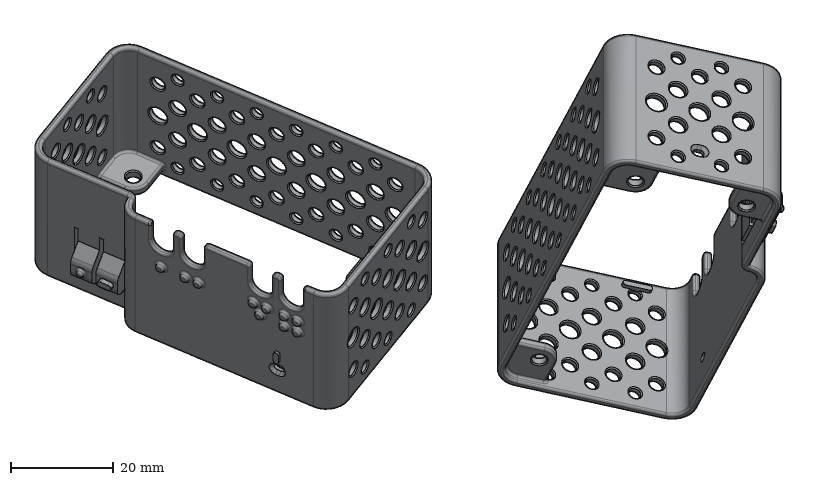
import cadquery as cq
import math

LENGTH = 73.0
DEPTH = 40.95
HEIGHT = 32.6
WALL = 1.5
CORNER_RADIUS = 5.05
EDGE_RADIUS = 0.5
MARK_HEIGHT = 1.0
MARK_ROOT = 0.4

STEP_X = 23.35
STEP_DEPTH = 4.45
STEP_INNER_RADIUS = 0.3
STEP_OUTER_RADIUS = STEP_DEPTH - STEP_INNER_RADIUS

VENT_PITCH = 9.0
HALF_PITCH = VENT_PITCH / 2
RIM_ROUND = 0.255
VENT_ROWS = [
    (0.0, 4.0),
    (HALF_PITCH, 3.5),
    (VENT_PITCH, 3.0),
    (12.5, 2.5),
]
BACK_COLUMNS = [7, 6, 7, 6]
LEFT_COLUMNS = [3, 2, 3, 2]
RIGHT_COLUMNS = [4, 3, 4, 3]

TAB_BOTTOM = 1.5
TAB_THICKNESS = 2.0
TAB_HOLE = 3.0
TAB_HOLE_INSET = 7.5
TAB_HOLE_SPACING_Y = 23.0
TAB_RADIUS = 3.4

NOTCH_WIDTH = 5.0
NOTCH_CENTRE_Z = 27.95
NOTCH_LIP_RADIUS = 0.7
NOTCH_PITCH = 7.0
NOTCH_PAIR_X = [37.0, 59.5]

DOT_DIAMETER = 2.0
DOT_PITCH = 3.0
DOT_ROUND = MARK_HEIGHT / 2
SINGLE_ROW_Z = 21.9
GROUP_TOP_Z = 22.9

LIGHT_Z = 6.4
LIGHT_DIAMETER = 1.5
LIGHT_STRAIGHT = 0.7
LIGHT_FLARE = 0.7
LIGHT_FRONT_X = 59.8

BAR_Z = 10.2
BAR_LENGTH = 3.0
BAR_WIDTH = 1.2
BAR_HEIGHT = 0.6
INNER_BAR_Y = 11.25
INNER_BAR_Z = 30.5
INNER_BAR_LENGTH = 6.1
INNER_BAR_HEIGHT = 0.9

BUTTON_WIDTH = 4.9
BUTTON_GAP = 0.9
BUTTON_BOTTOM = 5.8
BUTTON_GAP_TOP = 17.15
BUTTON_MIDDLE_X = 17.3
BUTTON_REACH = 3.0
BUTTON_CORNER_Z = 10.7
BUTTON_ROUND = 2.0
BUTTON_MARK_Z = 8.8
BUTTON_PAD = 0.3
BUTTON_DOT_DIAMETER = 1.5
BUTTON_DASH_LENGTH = 3.15

MID_X = LENGTH / 2
MID_Z = HEIGHT / 2
LEFT_MID_Y = (STEP_DEPTH + DEPTH) / 2
TOLERANCE = 0.01
TAB_HOLE_Y = [DEPTH - TAB_HOLE_INSET - TAB_HOLE_SPACING_Y, DEPTH - TAB_HOLE_INSET]
NOTCH_X = [pair + side * NOTCH_PITCH / 2 for pair in NOTCH_PAIR_X for side in (-1, 1)]
BUTTON_X = [BUTTON_MIDDLE_X + side * (BUTTON_WIDTH + BUTTON_GAP) / 2 for side in (-1, 1)]

WINDOW_X0 = BUTTON_X[0] - BUTTON_WIDTH / 2 - BUTTON_GAP
WINDOW_X1 = BUTTON_X[1] + BUTTON_WIDTH / 2 + BUTTON_GAP
WINDOW_Z0 = BUTTON_BOTTOM - BUTTON_GAP
WINDOW_INNER_Y = STEP_DEPTH + WALL


def box(x0, x1, y0, y1, z0, z1):
    return cq.Workplane("XY").box(x1 - x0, y1 - y0, z1 - z0, centered=False).translate((x0, y0, z0))


def outer_outline():
    r = CORNER_RADIUS
    flat_end = STEP_X - STEP_INNER_RADIUS
    main_start = STEP_X + STEP_OUTER_RADIUS
    return (
        cq.Workplane("XY")
        .moveTo(r, STEP_DEPTH)
        .lineTo(flat_end, STEP_DEPTH)
        .radiusArc((STEP_X, STEP_OUTER_RADIUS), STEP_INNER_RADIUS)
        .radiusArc((main_start, 0), -STEP_OUTER_RADIUS)
        .lineTo(LENGTH - r, 0)
        .radiusArc((LENGTH, r), -r)
        .lineTo(LENGTH, DEPTH - r)
        .radiusArc((LENGTH - r, DEPTH), -r)
        .lineTo(r, DEPTH)
        .radiusArc((0, DEPTH - r), -r)
        .lineTo(0, STEP_DEPTH + r)
        .radiusArc((r, STEP_DEPTH), -r)
        .close()
    )


def inner_solid():
    """The space inside the walls, as a full-height block."""
    return outer_outline().offset2D(-WALL).extrude(HEIGHT)


def cable_notches():
    cutters = cq.Workplane("XY")
    for x in NOTCH_X:
        notch = box(x - NOTCH_WIDTH / 2, x + NOTCH_WIDTH / 2, -0.7, WALL + 0.7, NOTCH_CENTRE_Z, HEIGHT + 0.7)
        end = cq.Workplane("XZ", origin=(x, -0.7, NOTCH_CENTRE_Z)).circle(NOTCH_WIDTH / 2).extrude(-WALL - 1.45)
        cutters = cutters.union(notch.union(end))
    return cutters


def screw_tabs():
    """Three corner tabs, each with one round corner around its hole."""
    reach = TAB_HOLE_INSET + TAB_RADIUS
    back = DEPTH - reach
    front_edge = TAB_HOLE_Y[0] + TAB_RADIUS
    tabs = (
        box(0, reach, back, DEPTH, 0, HEIGHT).edges("|Z and >X and <Y").fillet(TAB_RADIUS)
        .union(box(LENGTH - reach, LENGTH, back, DEPTH, 0, HEIGHT)
               .edges("|Z and <X and <Y").fillet(TAB_RADIUS))
        .union(box(0, reach, STEP_DEPTH, front_edge, 0, HEIGHT)
               .edges("|Z and >X and >Y").fillet(TAB_RADIUS))
    )
    layer = outer_outline().extrude(TAB_THICKNESS).translate((0, 0, TAB_BOTTOM))
    return tabs.intersect(layer)


def is_flat_in_y(edge):
    bounds = edge.BoundingBox()
    return bounds.ymax - bounds.ymin < TOLERANCE


def level_zone(z):
    """Selects what is centred at height z."""
    return cq.selectors.BoxSelector((-0.7, -0.7, z - TOLERANCE), (LENGTH + 0.7, DEPTH + 0.7, z + TOLERANCE))


def distinct(edges):
    return list({edge.hashCode(): edge for edge in edges.vals()}.values())


def frame():
    """Walls with notches and tabs, all exposed edges rounded."""
    solid = outer_outline().extrude(HEIGHT).cut(inner_solid())
    solid = solid.cut(cable_notches())
    solid = solid.edges("|Y").edges(">Z").fillet(NOTCH_LIP_RADIUS)
    notch_zone = cq.selectors.BoxSelector((NOTCH_X[0] - NOTCH_WIDTH, -0.7, MID_Z),
                                          (NOTCH_X[-1] + NOTCH_WIDTH, WALL + 0.7, HEIGHT + 0.7))
    rim = solid.faces(">Z or <Z").edges().add(solid.edges(notch_zone).filter(is_flat_in_y))
    solid = solid.newObject(distinct(rim)).fillet(EDGE_RADIUS)
    solid = solid.union(screw_tabs())
    tab_edges = (
        solid.edges("|Z").edges(level_zone(TAB_BOTTOM + TAB_THICKNESS / 2))
        .add(solid.edges(level_zone(TAB_BOTTOM)))
        .add(solid.edges(level_zone(TAB_BOTTOM + TAB_THICKNESS)))
    )
    return solid.newObject(distinct(tab_edges)).fillet(EDGE_RADIUS)


def hole_cutter(diameter, thickness):
    """Cutter along +Z through a wall, flared by a rounded rim at both faces."""
    r = diameter / 2
    e = RIM_ROUND
    return (
        cq.Workplane("XZ")
        .lineTo(r + e, 0)
        .radiusArc((r, e), -e)
        .lineTo(r, thickness - e)
        .radiusArc((r + e, thickness), -e)
        .lineTo(0, thickness)
        .close()
        .revolve(360, (0, 0, 0), (0, 1, 0))
    )


def tab_holes():
    spots = [(TAB_HOLE_INSET, y) for y in TAB_HOLE_Y] + [(LENGTH - TAB_HOLE_INSET, TAB_HOLE_Y[1])]
    cutter = hole_cutter(TAB_HOLE, TAB_THICKNESS)
    return [cutter.translate((x, y, TAB_BOTTOM)).val() for x, y in spots]


def vent_grid(column_counts):
    """Hole positions (across, up from mid height, diameter), rows mirrored about mid height."""
    spots = []
    for count, (rise, diameter) in zip(column_counts, VENT_ROWS):
        for column in range(count):
            across = (column - (count - 1) / 2) * VENT_PITCH
            for up in sorted({rise, -rise}):
                spots.append((across, up, diameter))
    return spots


def vents():
    cutters = []
    for across, up, diameter in vent_grid(BACK_COLUMNS):
        cutter = hole_cutter(diameter, WALL).rotate((0, 0, 0), (1, 0, 0), -90)
        cutters.append(cutter.translate((MID_X + across, DEPTH - WALL, MID_Z + up)).val())
    for across, up, diameter in vent_grid(RIGHT_COLUMNS):
        cutter = hole_cutter(diameter, WALL).rotate((0, 0, 0), (0, 1, 0), 90)
        cutters.append(cutter.translate((LENGTH - WALL, DEPTH / 2 + across, MID_Z + up)).val())
    for across, up, diameter in vent_grid(LEFT_COLUMNS):
        if across == 0 and up == -VENT_PITCH:
            continue
        cutter = hole_cutter(diameter, WALL).rotate((0, 0, 0), (0, 1, 0), 90)
        cutters.append(cutter.translate((0, LEFT_MID_Y + across, MID_Z + up)).val())
    return cutters


def light_opening():
    """Slot cutter from the outer face (z = 0) inward, wide at the outer face."""
    slot = cq.Workplane("XY").slot2D(LIGHT_STRAIGHT + LIGHT_DIAMETER, LIGHT_DIAMETER).extrude(WALL + 0.7)
    wide = LIGHT_DIAMETER + 2 * LIGHT_FLARE
    flare = cq.Workplane("XY").slot2D(LIGHT_STRAIGHT + wide, wide).extrude(LIGHT_FLARE, taper=45)
    return slot.union(flare)


def light_openings():
    front = light_opening().rotate((0, 0, 0), (1, 0, 0), -90).translate((LIGHT_FRONT_X, 0, LIGHT_Z))
    left = (
        light_opening().rotate((0, 0, 0), (0, 0, 1), 90).rotate((0, 0, 0), (0, 1, 0), 90)
        .translate((0, LEFT_MID_Y, LIGHT_Z))
    )
    return [front.val(), left.val()]


def raised_bar(length, width, height):
    """Round-ended bar along X, from the plane y = 0 toward -Y, rooted in the wall behind."""
    bar = cq.Workplane("XZ").slot2D(length, width).extrude(height + MARK_ROOT)
    return bar.translate((0, MARK_ROOT, 0))


def raised_bars():
    front = (
        raised_bar(BAR_LENGTH, BAR_WIDTH, BAR_HEIGHT).rotate((0, 0, 0), (0, 1, 0), 90)
        .translate((LIGHT_FRONT_X, 0, BAR_Z))
    )
    inner = (
        raised_bar(INNER_BAR_LENGTH, BAR_WIDTH, INNER_BAR_HEIGHT).rotate((0, 0, 0), (0, 0, 1), -90)
        .translate((LENGTH - WALL, INNER_BAR_Y, INNER_BAR_Z))
    )
    return front.union(inner)


def dot(diameter, x, face_y, z):
    """Raised dot on a face looking toward -Y: flared foot, rounded top."""
    r = diameter / 2
    e = DOT_ROUND
    profile = (
        cq.Workplane("XY")
        .moveTo(0, MARK_ROOT)
        .lineTo(r + e, MARK_ROOT)
        .lineTo(r + e, 0)
        .radiusArc((r, -e), -e)
        .radiusArc((r - e, -2 * e), e)
        .lineTo(0, -2 * e)
        .close()
    )
    return profile.revolve(360, (0, 0, 0), (0, 1, 0)).translate((x, face_y, z))


def notch_numbers():
    """One to four dots below the notches, numbering them from the left."""
    half = DOT_PITCH / 2
    triangle_height = DOT_PITCH * math.sqrt(3) / 2
    groups = [
        [(0, SINGLE_ROW_Z)],
        [(-half, SINGLE_ROW_Z), (half, SINGLE_ROW_Z)],
        [(-half, GROUP_TOP_Z), (half, GROUP_TOP_Z), (0, GROUP_TOP_Z - triangle_height)],
        [(dx, GROUP_TOP_Z - drop) for dx in (-half, half) for drop in (0, DOT_PITCH)],
    ]
    dots = cq.Workplane("XY")
    for notch_x, group in zip(NOTCH_X, groups):
        for dx, z in group:
            dots = dots.union(dot(DOT_DIAMETER, notch_x + dx, 0, z))
    return dots


def button_block(x):
    """One button with a sloped top, standing out from the set-back wall, with rounded sides."""
    front = STEP_DEPTH - BUTTON_REACH
    inner = WINDOW_INNER_Y + BUTTON_PAD
    slope_top = BUTTON_CORNER_Z + BUTTON_REACH
    sharp = (
        cq.Workplane("YZ", origin=(x - BUTTON_WIDTH / 2, 0, 0))
        .moveTo(STEP_DEPTH, slope_top)
        .lineTo(front, BUTTON_CORNER_Z)
        .lineTo(front, BUTTON_BOTTOM)
        .lineTo(inner, BUTTON_BOTTOM)
        .lineTo(inner, slope_top)
        .close()
        .extrude(BUTTON_WIDTH)
    )
    bend_zone = cq.selectors.BoxSelector((0, front - 0.7, 0), (LENGTH, front + TOLERANCE, HEIGHT))
    return sharp.edges("|X").edges(bend_zone).fillet(BUTTON_ROUND)


def button_slots():
    """Gaps beside and below the buttons, cutting them free on three sides."""
    y0 = STEP_DEPTH - 0.7
    y1 = WINDOW_INNER_Y + 0.7
    window = box(WINDOW_X0, WINDOW_X1, y0, y1, WINDOW_Z0, BUTTON_GAP_TOP)
    for x in BUTTON_X:
        strip = box(x - BUTTON_WIDTH / 2, x + BUTTON_WIDTH / 2, y0, y1, BUTTON_BOTTOM, BUTTON_GAP_TOP)
        window = window.cut(strip)
    return window


def button_marks():
    """A dot on the first button and a dash on the second."""
    face = STEP_DEPTH - BUTTON_REACH
    first, second = BUTTON_X
    dash = raised_bar(BUTTON_DASH_LENGTH, BUTTON_DOT_DIAMETER, MARK_HEIGHT)
    dash = dash.translate((second, face, BUTTON_MARK_Z))
    return dash.union(dot(BUTTON_DOT_DIAMETER, first, face, BUTTON_MARK_Z))


result = frame()
result = result.cut(cq.Workplane("XY").newObject(tab_holes() + vents() + light_openings()))
result = result.cut(button_slots())
for button_x in BUTTON_X:
    result = result.union(button_block(button_x))
result = result.union(button_marks())
result = result.union(notch_numbers())
result = result.union(raised_bars())